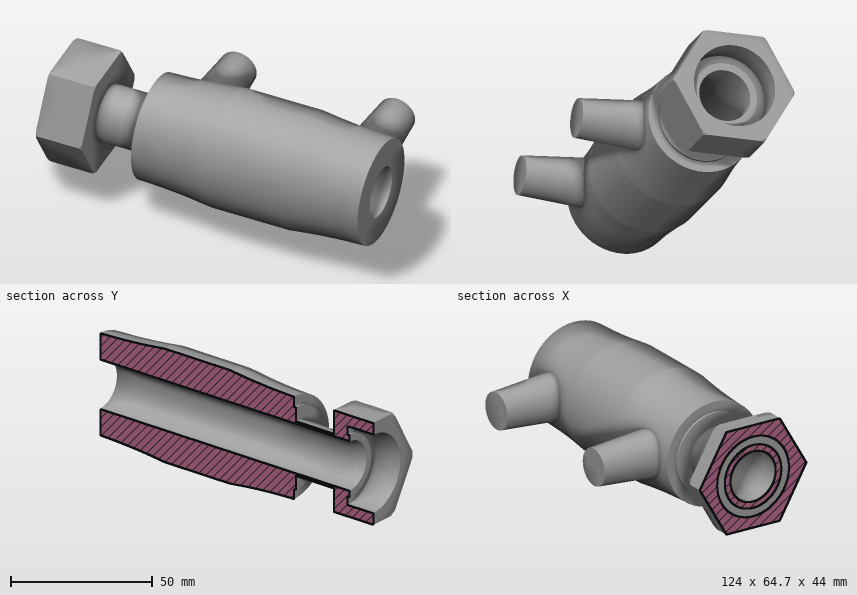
import cadquery as cq
import math

nut_length = 18.0
nut_across_flats = 39.35
nut_sides = 6
nut_across_corners = nut_across_flats / math.cos(math.pi / nut_sides)
nut_chamfer = 0.8
nut_bore_diameter = 30.29
nut_bore_depth = 11.7

stem_diameter = 21.2
lip_diameter = 24.23
lip_height = 1.0
through_bore_diameter = 19.0

body_diameter = 44.0
body_end_diameter = 39.6
flare_hollow = 0.4
body_start = 36.0
body_length = 88.0
body_third = body_length / 3
body_end = body_start + body_length
collar_diameter = 32.0
collar_thickness = 1.0

port_tip_y = 42.0
port_tip_diameter = 14.1
port_base_y = 18.0
port_base_diameter = 17.8
port_inset = 0.15 * body_length


def cylinder_along_x(diameter, start, end):
    return cq.Workplane("YZ", origin=(start, 0, 0)).circle(diameter / 2).extrude(end - start)


def make_nut():
    hexagon = cq.Workplane("YZ").polygon(nut_sides, nut_across_corners).extrude(nut_length)
    corner_trim = cylinder_along_x(nut_across_corners, 0, nut_length).faces("<X or >X").chamfer(nut_chamfer)
    bore = cylinder_along_x(nut_bore_diameter, 0, nut_bore_depth)
    return hexagon.intersect(corner_trim).cut(bore)


def make_stem():
    tube = cylinder_along_x(stem_diameter, nut_bore_depth, body_start)
    lip = cylinder_along_x(lip_diameter, nut_bore_depth - lip_height, nut_bore_depth)
    collar = cylinder_along_x(collar_diameter, body_start - collar_thickness, body_start)
    return tube.union(lip).union(collar)


def make_body():
    radius = body_diameter / 2
    end_radius = body_end_diameter / 2
    middle_start = body_start + body_third
    middle_end = body_end - body_third
    flare_mid_radius = (radius + end_radius) / 2 - flare_hollow
    return (
        cq.Workplane("XZ")
        .moveTo(body_start, 0)
        .lineTo(body_start, end_radius)
        .threePointArc((body_start + body_third / 2, flare_mid_radius), (middle_start, radius))
        .lineTo(middle_end, radius)
        .threePointArc((body_end - body_third / 2, flare_mid_radius), (body_end, end_radius))
        .lineTo(body_end, 0)
        .close()
        .revolve(axisStart=(0, 0, 0), axisEnd=(1, 0, 0))
    )


def make_port(x):
    return (
        cq.Workplane("XZ", origin=(x, port_base_y, 0))
        .circle(port_base_diameter / 2)
        .workplane(offset=port_base_y - port_tip_y)
        .circle(port_tip_diameter / 2)
        .loft(ruled=True)
    )


result = make_nut().union(make_stem()).union(make_body())
for port_x in (body_start + port_inset, body_end - port_inset):
    result = result.union(make_port(port_x))
result = result.cut(cylinder_along_x(through_bore_diameter, 0, body_end))